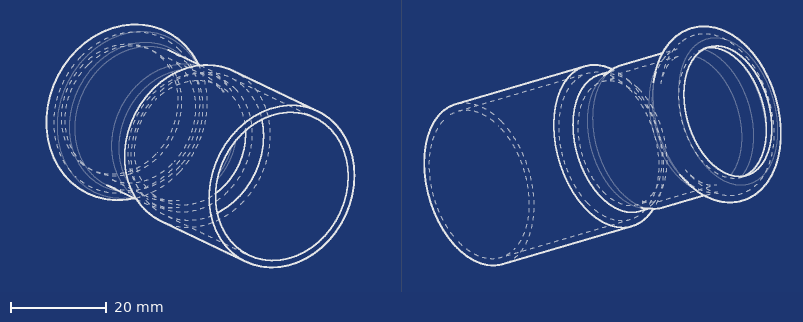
import cadquery as cq
import math

length = 69.0
wall = 1.5

bead_outer_radius = 18.85
bead_round = 3.05
bead_centre_radius = bead_outer_radius - bead_round
root_fillet = 1.85
flank_angle = math.radians(45)

socket_radius = 15.5
neck_radius = 14.9
spigot_radius = 17.45
socket_end = 24.0
neck_start = 26.0
neck_end = 29.95
spigot_start = 33.05

fillet_centre_radius = socket_radius + root_fillet
centre_rise = fillet_centre_radius - bead_centre_radius
flank_offset = bead_round + root_fillet
fillet_centre_x = bead_round + (flank_offset - centre_rise * math.sin(flank_angle)) / math.cos(flank_angle)


def on_bead(section_radius, angle):
    """Point (x, radius) on the bead round, with the angle measured from +X."""
    return (
        bead_round + section_radius * math.cos(angle),
        bead_centre_radius + section_radius * math.sin(angle),
    )


def on_fillet(section_radius, angle):
    """Point (x, radius) on the root fillet, with the angle measured from -radial toward -X."""
    return (
        fillet_centre_x - section_radius * math.sin(angle),
        fillet_centre_radius - section_radius * math.cos(angle),
    )


def revolved_profile(inset):
    """Solid bounded by the outer skin moved inward by inset."""
    round_radius = bead_round - inset
    fillet_radius = root_fillet + inset
    face_x = bead_round - round_radius
    profile = (
        cq.Workplane("XY")
        .moveTo(face_x, 0)
        .lineTo(face_x, bead_centre_radius)
        .threePointArc(on_bead(round_radius, math.pi / 2), on_bead(round_radius, flank_angle))
        .lineTo(*on_fillet(fillet_radius, flank_angle))
        .threePointArc(on_fillet(fillet_radius, flank_angle / 2), on_fillet(fillet_radius, 0))
        .lineTo(socket_end, socket_radius - inset)
        .lineTo(neck_start, neck_radius - inset)
        .lineTo(neck_end, neck_radius - inset)
        .lineTo(spigot_start, spigot_radius - inset)
        .lineTo(length, spigot_radius - inset)
        .lineTo(length, 0)
        .close()
    )
    return profile.revolve(360, (0, 0, 0), (1, 0, 0))


mouth = cq.Workplane("YZ").circle(socket_radius - wall).extrude(socket_end)

result = revolved_profile(0).cut(revolved_profile(wall)).cut(mouth)